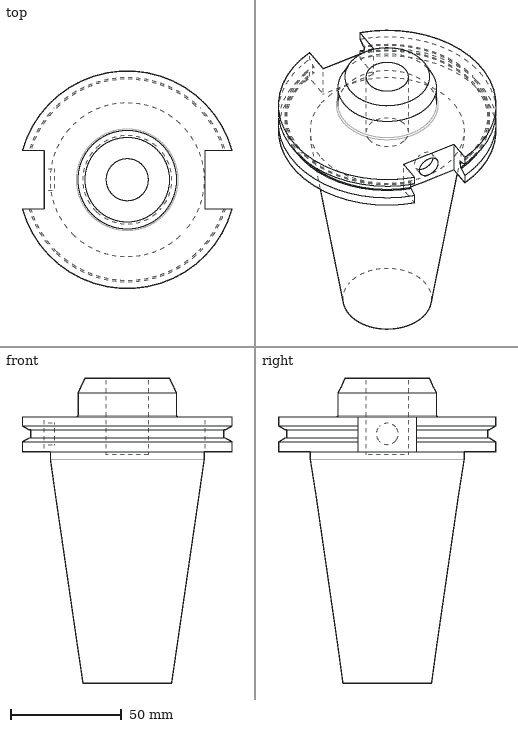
import cadquery as cq

total_height = 138.2
nose_height = 17.5
nose_chamfer_height = 6.8
flange_thickness = 15.9
collar_height = 3.3

flange_top = total_height - nose_height
flange_bottom = flange_top - flange_thickness
taper_length = flange_bottom - collar_height

taper_ratio = 7 / 24
collar_diameter = 69.8
small_end_diameter = collar_diameter - taper_ratio * taper_length
flange_diameter = 98.5
nose_diameter = 44.6
nose_tip_diameter = 38.3
nose_root_fillet = 0.7

groove_floor_diameter = 91.2
groove_mouth_width = 7.2
groove_floor_width = 3.6
groove_ledge = 0.7
groove_center_z = flange_top - 7.7

slot_width = 26.3
slot_floor_left = 37.6
slot_floor_right = 35.2

bore_diameter = 19.0
bore_depth = 34.5
pocket_diameter = 9.8
pocket_depth = 4.5
pocket_center_z = groove_center_z


def turned_body():
    """Taper, collar, grooved flange and nose as one revolved profile."""
    collar_radius = collar_diameter / 2
    flange_radius = flange_diameter / 2
    groove_radius = groove_floor_diameter / 2
    flank_radius = groove_radius + groove_ledge
    nose_radius = nose_diameter / 2
    fillet_start = (nose_radius + nose_root_fillet, flange_top)
    fillet_end = (nose_radius, flange_top + nose_root_fillet)
    return (
        cq.Workplane("XZ")
        .lineTo(small_end_diameter / 2, 0)
        .lineTo(collar_radius, taper_length)
        .lineTo(collar_radius, flange_bottom)
        .lineTo(flange_radius, flange_bottom)
        .lineTo(flange_radius, groove_center_z - groove_mouth_width / 2)
        .lineTo(flank_radius, groove_center_z - groove_floor_width / 2)
        .lineTo(groove_radius, groove_center_z - groove_floor_width / 2)
        .lineTo(groove_radius, groove_center_z + groove_floor_width / 2)
        .lineTo(flank_radius, groove_center_z + groove_floor_width / 2)
        .lineTo(flange_radius, groove_center_z + groove_mouth_width / 2)
        .lineTo(flange_radius, flange_top)
        .lineTo(*fillet_start)
        .radiusArc(fillet_end, nose_root_fillet)
        .lineTo(nose_radius, total_height - nose_chamfer_height)
        .lineTo(nose_tip_diameter / 2, total_height)
        .lineTo(0, total_height)
        .close()
        .revolve(360, (0, 0, 0), (0, 1, 0))
    )


def drive_slot(side, floor_distance):
    """Cutter for a slot through the flange; side is -1 for -X and +1 for +X."""
    slot_length = flange_diameter / 2
    return (
        cq.Workplane("XY")
        .workplane(offset=flange_bottom)
        .center(side * (floor_distance + slot_length / 2), 0)
        .rect(slot_length, slot_width)
        .extrude(flange_thickness)
    )


def nose_bore():
    """Cutter for the blind bore on the axis, open at the nose tip."""
    return (
        cq.Workplane("XY")
        .workplane(offset=total_height - bore_depth)
        .circle(bore_diameter / 2)
        .extrude(bore_depth)
    )


def slot_pocket():
    """Cutter for the round blind pocket in the floor of the -X slot."""
    return (
        cq.Workplane("YZ")
        .workplane(offset=-slot_floor_left)
        .center(0, pocket_center_z)
        .circle(pocket_diameter / 2)
        .extrude(pocket_depth)
    )


result = (
    turned_body()
    .cut(drive_slot(-1, slot_floor_left))
    .cut(drive_slot(1, slot_floor_right))
    .cut(nose_bore())
    .cut(slot_pocket())
)